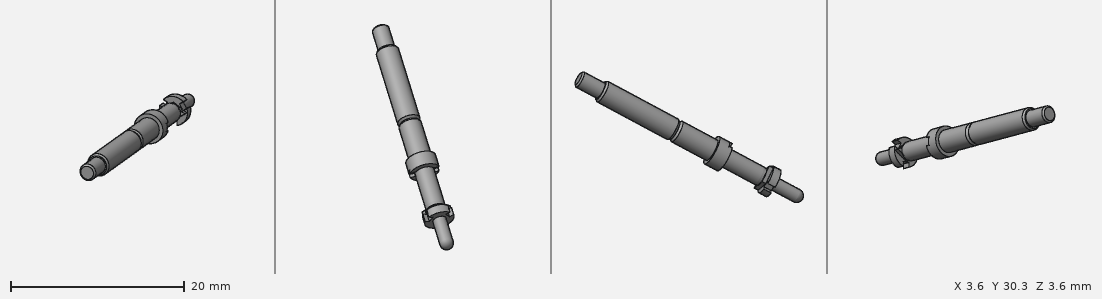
import cadquery as cq
import math

length = 30.3
tip_diameter = 1.6
dome_height = 0.75
neck_diameter = 2.3
waist_diameter = 2.25
head_diameter = 3.55
stop_diameter = 3.6
body_diameter = 2.7
tail_diameter = 2.0

tip_end = length / 2
head_front = 11.18
head_back = 10.18
key_back = 9.65
cove_back = 9.27
stop_front = 4.6
stop_back = 2.88
groove_centre = -2.12
body_end = -12.15
tail_end = -length / 2

groove_width = 0.58
groove_depth = 0.2
body_chamfer_length = 0.27
body_chamfer_depth = 0.18
tail_chamfer = 0.2

slot_count = 3
slot_width = 0.88
slot_floor_distance = 1.15
first_slot_angle = 30.0

key_half_width = 1.7
key_half_height = 1.1

notch_width = 1.0
notch_depth = 0.42

neck_radius = neck_diameter / 2
body_radius = body_diameter / 2


def cylinder(diameter, y_low, y_high):
    """Solid cylinder along the Y axis."""
    disc = cq.Workplane("XZ", origin=(0, y_high, 0)).circle(diameter / 2)
    return disc.extrude(y_high - y_low)


def tip():
    """Contact tip with a domed end, from inside the head collar."""
    radius = tip_diameter / 2
    dome_base = tip_end - dome_height
    sphere_radius = (radius**2 + dome_height**2) / (2 * dome_height)
    half_angle = math.asin(radius / sphere_radius) / 2
    arc_middle = (
        sphere_radius * math.sin(half_angle),
        tip_end - sphere_radius * (1 - math.cos(half_angle)),
    )
    profile = (
        cq.Workplane("XY")
        .moveTo(0, head_back)
        .lineTo(radius, head_back)
        .lineTo(radius, dome_base)
        .threePointArc(arc_middle, (0, tip_end))
        .close()
    )
    return profile.revolve(360, (0, 0, 0), (0, 1, 0))


def body_and_tail():
    """Grooved body with a chamfered end, and the thinner tail behind it."""
    tail_radius = tail_diameter / 2
    profile = cq.Workplane("XY").polyline([
        (0, stop_back),
        (body_radius, stop_back),
        (body_radius, groove_centre + groove_width / 2),
        (body_radius - groove_depth, groove_centre),
        (body_radius, groove_centre - groove_width / 2),
        (body_radius, body_end + body_chamfer_length),
        (body_radius - body_chamfer_depth, body_end),
        (tail_radius, body_end),
        (tail_radius, tail_end + tail_chamfer),
        (tail_radius - tail_chamfer, tail_end),
        (0, tail_end),
    ]).close()
    return profile.revolve(360, (0, 0, 0), (0, 1, 0))


def slotted_head():
    """Collar behind the tip with a diamond key on its back face, slotted along Y through both."""
    collar = cylinder(head_diameter, head_back, head_front)
    key = (
        cq.Workplane("XZ", origin=(0, head_back, 0))
        .polyline([
            (key_half_width, 0),
            (0, key_half_height),
            (-key_half_width, 0),
            (0, -key_half_height),
        ])
        .close()
        .extrude(head_back - key_back)
    )
    head = collar.union(key)

    slot = cq.Workplane("XY").box(
        head_diameter, head_front - key_back, slot_width, centered=(False, False, True)
    ).translate((slot_floor_distance, key_back, 0))
    for i in range(slot_count):
        angle = first_slot_angle + i * 360 / slot_count
        head = head.cut(slot.rotate((0, 0, 0), (0, 1, 0), -angle))
    return head


def neck():
    """Round neck, narrowing in a cove to the waist behind the key."""
    waist_radius = waist_diameter / 2
    cove_length = key_back - cove_back
    rise = neck_radius - waist_radius
    cove_radius = (cove_length**2 + rise**2) / (2 * rise)
    half_angle = math.asin(cove_length / cove_radius) / 2
    cove_middle = (
        waist_radius + cove_radius * (1 - math.cos(half_angle)),
        key_back - cove_radius * math.sin(half_angle),
    )
    profile = (
        cq.Workplane("XY")
        .moveTo(0, key_back)
        .lineTo(waist_radius, key_back)
        .threePointArc(cove_middle, (neck_radius, cove_back))
        .lineTo(neck_radius, stop_back)
        .lineTo(0, stop_back)
        .close()
    )
    return profile.revolve(360, (0, 0, 0), (0, 1, 0))


def stop_collar():
    """Collar in front of the body, notched on both sides down to the neck."""
    collar = cylinder(stop_diameter, stop_back, stop_front)
    notch = cq.Workplane("XY").box(
        stop_diameter, notch_depth, notch_width
    ).translate((0, stop_front - notch_depth / 2, 0))
    return collar.cut(notch)


result = (
    tip()
    .union(slotted_head())
    .union(neck())
    .union(stop_collar())
    .union(body_and_tail())
)